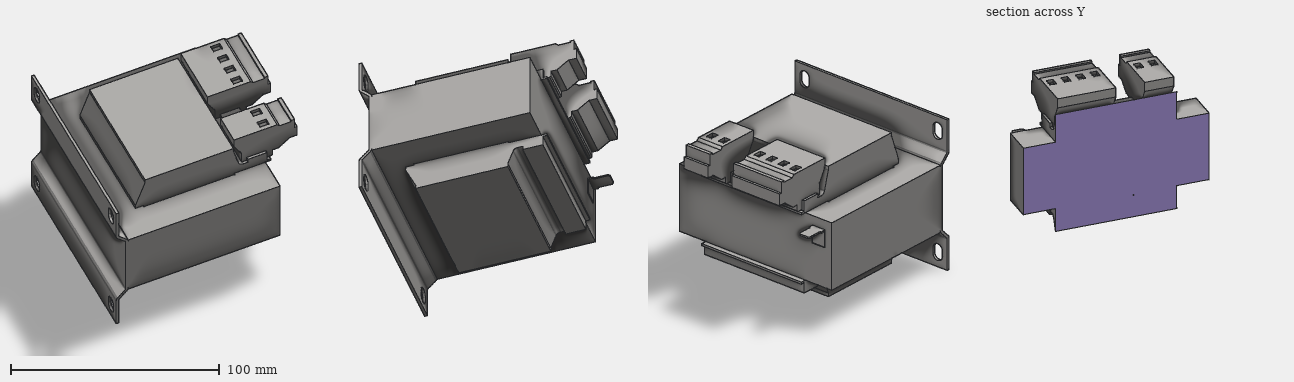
import cadquery as cq
import math


core_width = 96.0
core_half_stack = 18.1
core_back_y = 86.6

window_width = 64.3
window_front_y = 22.2
window_back_y = 70.1

sheet = 1.5
plate_half_height = 40.5
plate_offset = 5.0
web_bend_z = 17.6
bend_inner_radius = 0.7
bend_angle = 45
slot_width = 5.8
slot_length = 8.9
slot_x = 41.9
slot_z = 32.5

bobbin_width = 62.8
coil_top_z = 36.5
coil_bottom_z = 33.6
coil_front_y = 17.9
coil_back_y = 73.0
crown_front_y = 23.0
crown_back_y = 69.7
crown_edge = 2.0
skirt_z = 20.2
rail_front_y = 77.3
rail_back_y = 87.5
rail_z = 24.8
groove_z = 22.7
groove_radius = 2.5
lip_back_y = 89.5
lip_z = 19.2

terminal_width = 15.1
paired_left = -30.1
single_left = 15.0
terminal_lefts = (paired_left, paired_left + terminal_width, single_left)
terminal_top_z = 40.9
terminal_front_y = 70.6
terminal_shoulder_z = 36.0
leg_front_y = 74.7
leg_top_z = 28.8
hook_back_y = 91.1
hook_bottom_z = 19.8
hook_chamfer = 0.6
throat_z = 23.5
throat_back_y = 94.1
nose_front_y = 100.0
nose_back_y = 104.0
nose_bottom_z = 28.1
nose_top_z = 34.4
rim_front_y = 100.8
rim_back_y = 102.6
rim_top_z = 40.4
label_z = 39.5
label_front_y = 94.7
label_ramp = terminal_top_z - label_z
wire_pitch = terminal_width / 2
wire_hole_width = 3.3
wire_hole_length = 4.7
wire_hole_y = 87.8
wire_hole_depth = 1.9

tab_x = -39.9
tab_top_z = 13.0
tab_thickness = 0.8
tab_width = 6.3
tab_end_y = 97.7
tab_corner = 0.8
tab_base_width = 7.8
tab_base_end_y = 89.5
tab_foot_bottom_z = 3.6
tab_foot_thickness = 0.5


def box(x_range, y_range, z_range):
    """Box between the given limits on each axis."""
    limits = (x_range, y_range, z_range)
    size = [high - low for low, high in limits]
    corner = [low for low, high in limits]
    return cq.Workplane("XY").box(*size, centered=False).translate(tuple(corner))


def extrude_x(points, left, width):
    """Solid from a closed (y, z) outline, running in +X from left."""
    return cq.Workplane("YZ", origin=(left, 0, 0)).polyline(points).close().extrude(width)


def make_core():
    core = box(
        (-core_width / 2, core_width / 2),
        (plate_offset + sheet, core_back_y),
        (-core_half_stack, core_half_stack),
    )
    window = box(
        (-window_width / 2, window_width / 2),
        (window_front_y, window_back_y),
        (-core_half_stack, core_half_stack),
    )
    return core.cut(window)


def make_plate():
    """Plate with a flat web and two flanges joggled towards -Y, each with two slots."""
    flange_bend_z = web_bend_z + plate_offset / math.tan(math.radians(bend_angle))
    bend_shift = sheet * math.tan(math.radians(bend_angle / 2))
    bend_outer_radius = bend_inner_radius + sheet

    front_web = (plate_offset, web_bend_z)
    front_flange = (0, flange_bend_z)
    back_flange = (sheet, flange_bend_z + bend_shift)
    back_web = (plate_offset + sheet, web_bend_z + bend_shift)
    upper_half = extrude_x(
        [
            (plate_offset, 0),
            front_web,
            front_flange,
            (0, plate_half_height),
            (sheet, plate_half_height),
            back_flange,
            back_web,
            (plate_offset + sheet, 0),
        ],
        -core_width / 2,
        core_width,
    )
    bends = (
        (front_web, bend_inner_radius),
        (front_flange, bend_outer_radius),
        (back_flange, bend_inner_radius),
        (back_web, bend_outer_radius),
    )
    for (y, z), radius in bends:
        bend_edge = cq.selectors.NearestToPointSelector((0, y, z))
        upper_half = upper_half.edges(bend_edge).fillet(radius)

    slots = (
        cq.Workplane("XZ")
        .pushPoints([(-slot_x, slot_z), (slot_x, slot_z)])
        .slot2D(slot_length, slot_width, 90)
        .extrude(-sheet)
    )
    upper_half = upper_half.cut(slots)
    return upper_half.union(upper_half.mirror("XY"))


def make_bobbin_half(crown_z):
    """Half of the bobbin and coil above Z = 0, with the terminal rail along its back."""
    outline = [
        (coil_front_y, 0),
        (coil_front_y, skirt_z),
        (crown_front_y, crown_z - crown_edge),
        (crown_front_y, crown_z),
        (crown_back_y, crown_z),
        (crown_back_y, crown_z - crown_edge),
        (coil_back_y, groove_z),
        (rail_front_y, groove_z),
        (rail_front_y, rail_z),
        (rail_back_y, rail_z),
        (rail_back_y, lip_z),
        (lip_back_y, lip_z),
        (lip_back_y, core_half_stack),
        (core_back_y, core_half_stack),
        (core_back_y, 0),
    ]
    half = extrude_x(outline, -bobbin_width / 2, bobbin_width)
    groove_edge = cq.selectors.NearestToPointSelector((0, coil_back_y, groove_z))
    return half.edges(groove_edge).fillet(groove_radius)


def make_terminal(left):
    """Two-pole terminal block clipped over the bobbin rail."""
    outline = [
        (terminal_front_y, terminal_top_z),
        (terminal_front_y, terminal_shoulder_z),
        (leg_front_y, leg_top_z),
        (leg_front_y, groove_z),
        (rail_front_y, groove_z),
        (rail_front_y, rail_z),
        (rail_back_y, rail_z),
        (rail_back_y, hook_bottom_z),
        (hook_back_y - hook_chamfer, hook_bottom_z),
        (hook_back_y, hook_bottom_z + hook_chamfer),
        (hook_back_y, throat_z),
        (throat_back_y, throat_z),
        (nose_front_y, nose_bottom_z),
        (nose_back_y, nose_bottom_z),
        (nose_back_y, nose_top_z),
        (rim_back_y, nose_top_z),
        (rim_back_y, rim_top_z),
        (rim_front_y, rim_top_z),
        (rim_front_y, label_z),
        (label_front_y, label_z),
        (label_front_y - label_ramp, terminal_top_z),
    ]
    terminal = extrude_x(outline, left, terminal_width)
    middle = left + terminal_width / 2
    wire_holes = (
        cq.Workplane("XY", origin=(middle, wire_hole_y, terminal_top_z))
        .rarray(wire_pitch, 1, 2, 1)
        .rect(wire_hole_width, wire_hole_length)
        .extrude(-wire_hole_depth)
    )
    return terminal.cut(wire_holes)


def make_earth_tab():
    tab_z = (tab_top_z - tab_thickness, tab_top_z)
    base_x = (tab_x - tab_base_width / 2, tab_x + tab_base_width / 2)
    blade_x = (tab_x - tab_width / 2, tab_x + tab_width / 2)
    blade = box(blade_x, (core_back_y, tab_end_y), tab_z)
    blade = blade.edges("|Z and >Y").chamfer(tab_corner)
    base = box(base_x, (core_back_y, tab_base_end_y), tab_z)
    foot = box(
        base_x,
        (core_back_y, core_back_y + tab_foot_thickness),
        (tab_foot_bottom_z, tab_top_z),
    )
    return blade.union(base).union(foot)


result = make_core().union(make_plate())
result = result.union(make_bobbin_half(coil_top_z))
result = result.union(make_bobbin_half(coil_bottom_z).mirror("XY"))
for terminal_left in terminal_lefts:
    result = result.union(make_terminal(terminal_left))
result = result.union(make_earth_tab())